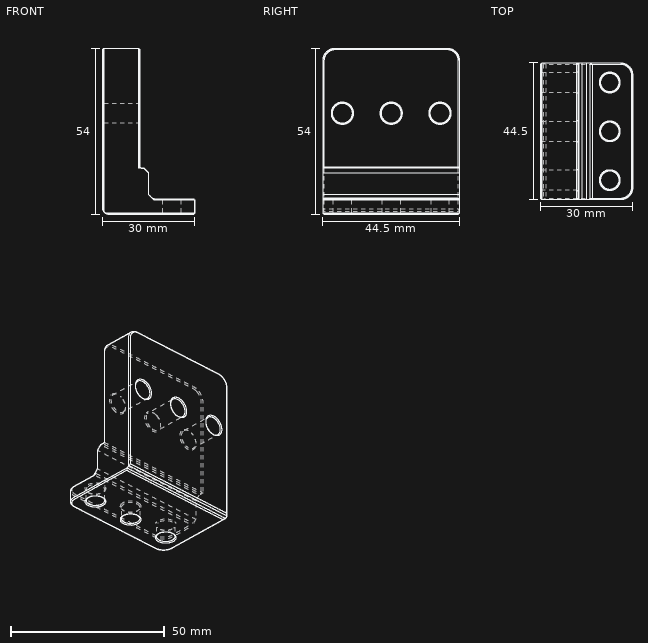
import cadquery as cq
import math

length_x = 30.0
width_y = 44.45
height_z = 54.0

wall_thickness = 12.15
step_depth = 15.0
step_height = 15.0
foot_thickness = 5.0
step_bevel = 1.5
root_bevel = 1.4
heel_bevel = 1.3
root_x = step_depth + root_bevel

corner_radius = 4.0
edge_chamfer = 0.45
hole_chamfer = 0.4

hole_pitch = 15.9
wall_hole_diameter = 6.5
wall_hole_height = 32.9
foot_hole_diameter = 6.0
foot_hole_x = 22.5
row_positions = [-hole_pitch, 0, hole_pitch]


def make_body():
    """Extrude the L profile with its step, symmetric about Y = 0."""
    return (
        cq.Workplane("XZ")
        .moveTo(heel_bevel, 0)
        .lineTo(length_x, 0)
        .lineTo(length_x, foot_thickness)
        .lineTo(root_x, foot_thickness)
        .lineTo(step_depth, foot_thickness + root_bevel)
        .lineTo(step_depth, step_height - step_bevel)
        .lineTo(step_depth - step_bevel, step_height)
        .lineTo(wall_thickness, step_height)
        .lineTo(wall_thickness, height_z)
        .lineTo(0, height_z)
        .lineTo(0, heel_bevel)
        .close()
        .extrude(width_y / 2, both=True)
    )


def round_corners(body):
    """Round the two top corners of the wall and the two end corners of the foot."""
    body = body.faces(">Z").edges("|X").fillet(corner_radius)
    return body.faces(">X").edges("|Z").fillet(corner_radius)


def chamfer_edges(body):
    """Chamfer the outer edges around both broad faces of the wall and of the foot."""
    wall_middle_z = (step_height + height_z) / 2
    foot_middle_x = (root_x + length_x) / 2
    flat_faces = [
        ((0, 0, height_z / 2), None),
        ((length_x / 2, 0, 0), None),
        ((wall_thickness, 0, wall_middle_z), "not <Z"),
        ((foot_middle_x, 0, foot_thickness), "not <X"),
    ]
    for point, edge_choice in flat_faces:
        face = body.faces(cq.selectors.NearestToPointSelector(point))
        body = face.edges(edge_choice).chamfer(edge_chamfer)
    return body


def make_tetrahedron(corners):
    """Solid with the four given corners."""
    faces = []
    for apex in corners:
        triangle = [corner for corner in corners if corner is not apex]
        faces.append(cq.Face.makeFromWires(cq.Wire.makePolygon(triangle, close=True)))
    return cq.Solid.makeSolid(cq.Shell.makeShell(faces))


def add_corner_strip(body, section, tip_point):
    """Fill an inner corner with a triangular strip whose ends taper to a tip on each side.

    The section and the tip are X, Z positions. The tip is where the side chamfer runs out.
    """
    half_strip = width_y / 2 - edge_chamfer
    strip = cq.Workplane("XZ").polyline(section).close().extrude(half_strip, both=True)
    body = body.union(strip)
    tip_x, tip_z = tip_point
    for side in (-1, 1):
        corners = [cq.Vector(x, side * half_strip, z) for x, z in section]
        tip = cq.Vector(tip_x, side * width_y / 2, tip_z)
        body = body.union(cq.Workplane(make_tetrahedron(corners + [tip])))
    return body


def fill_inner_corners(body):
    """Fill the corner between wall and step and the corner between root bevel and foot."""
    wall_section = [
        (wall_thickness, step_height),
        (wall_thickness + edge_chamfer, step_height),
        (wall_thickness, step_height + edge_chamfer),
    ]
    wall_tip = (wall_thickness - edge_chamfer, step_height)
    body = add_corner_strip(body, wall_section, wall_tip)

    rise = edge_chamfer * math.sin(math.pi / 4)
    foot_section = [
        (root_x, foot_thickness),
        (root_x + edge_chamfer, foot_thickness),
        (root_x - rise, foot_thickness + rise),
    ]
    foot_tip = (root_x + edge_chamfer, foot_thickness - edge_chamfer)
    return add_corner_strip(body, foot_section, foot_tip)


def make_cutter(diameter, depth, start, direction):
    """Through-hole cutter of the given depth, widened by a chamfer at both ends."""
    radius = diameter / 2
    mouth_radius = radius + hole_chamfer
    start = cq.Vector(*start)
    direction = cq.Vector(*direction)
    end = start + direction * depth
    bore = cq.Solid.makeCylinder(radius, depth, start, direction)
    entry = cq.Solid.makeCone(mouth_radius, radius, hole_chamfer, start, direction)
    exit_cone = cq.Solid.makeCone(mouth_radius, radius, hole_chamfer, end, direction * -1)
    return bore.fuse(entry, exit_cone)


def drill_holes(body):
    """Drill a row of three holes through the wall and another through the foot."""
    for y in row_positions:
        wall_start = (0, y, wall_hole_height)
        foot_start = (foot_hole_x, y, 0)
        body = body.cut(make_cutter(wall_hole_diameter, wall_thickness, wall_start, (1, 0, 0)))
        body = body.cut(make_cutter(foot_hole_diameter, foot_thickness, foot_start, (0, 0, 1)))
    return body


bracket = round_corners(make_body())
bracket = chamfer_edges(bracket)
bracket = fill_inner_corners(bracket)
result = drill_holes(bracket)